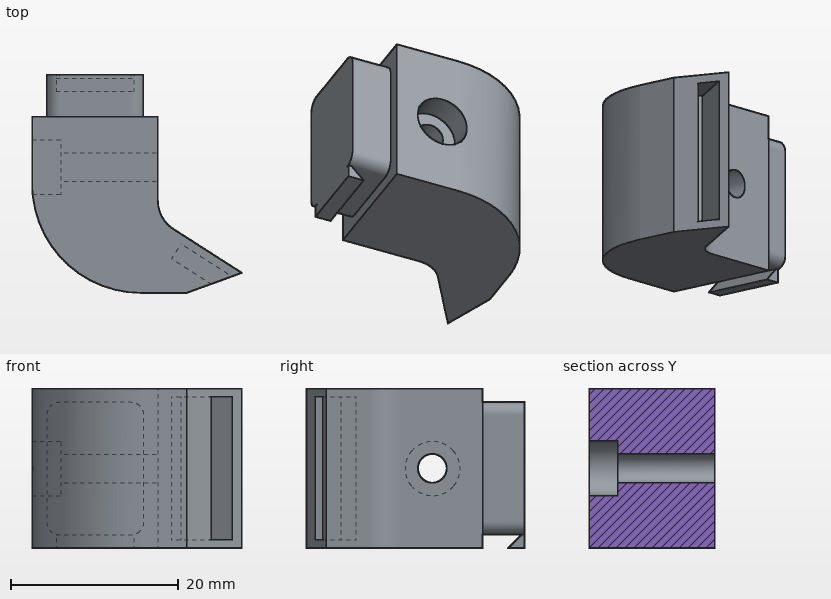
import cadquery as cq
import math

body_height = 19.0
shank_width = 15.0
shank_end_y = 21.0
outer_radius = 13.0
heel_x = 18.4
tip_x = 25.0
tip_y = 2.4
inner_corner_y = 8.8
inner_radius = 4.0

plug_width = 11.5
plug_height = 15.8
plug_length = 5.0
plug_corner_radius = 1.5

latch_width = 9.2
latch_length = 2.0

hole_y = 15.0
hole_z = body_height / 2
hole_diameter = 3.4
counterbore_diameter = 6.5
counterbore_depth = 3.4

slot_margin_z = 1.0
slot_wall = 1.0
slot_thickness = 2.1
slot_length = 8.0

plug_end_y = shank_end_y + plug_length
plug_bottom_z = (body_height - plug_height) / 2


def make_body():
    outline = (
        cq.Workplane("XY")
        .moveTo(0, shank_end_y)
        .lineTo(0, outer_radius)
        .radiusArc((outer_radius, 0), -outer_radius)
        .lineTo(heel_x, 0)
        .lineTo(tip_x, tip_y)
        .lineTo(shank_width, inner_corner_y)
        .lineTo(shank_width, shank_end_y)
        .close()
    )
    body = outline.extrude(body_height)
    inner_corner = (shank_width, inner_corner_y, body_height / 2)
    return body.edges(cq.selectors.NearestToPointSelector(inner_corner)).fillet(inner_radius)


def make_plug():
    plug = cq.Workplane("XY").box(plug_width, plug_length, plug_height, centered=(True, False, False))
    plug = plug.edges("|Y").fillet(plug_corner_radius)
    return plug.translate((shank_width / 2, shank_end_y, plug_bottom_z))


def make_latch():
    return (
        cq.Workplane("YZ", origin=(shank_width / 2, 0, 0))
        .moveTo(plug_end_y, 0)
        .lineTo(plug_end_y - latch_length, 0)
        .lineTo(plug_end_y - latch_length + plug_bottom_z, plug_bottom_z)
        .lineTo(plug_end_y, plug_bottom_z)
        .close()
        .extrude(latch_width / 2, both=True)
    )


def make_cross_hole():
    drilling = cq.Workplane("YZ").center(hole_y, hole_z)
    through_hole = drilling.circle(hole_diameter / 2).extrude(shank_width)
    counterbore = drilling.circle(counterbore_diameter / 2).extrude(counterbore_depth)
    return through_hole.union(counterbore)


def make_slot():
    slope_angle = math.degrees(math.atan2(inner_corner_y - tip_y, shank_width - tip_x))
    slot_height = body_height - 2 * slot_margin_z
    return (
        cq.Workplane("XY")
        .box(slot_length, slot_thickness, slot_height, centered=False)
        .translate((0, slot_wall, slot_margin_z))
        .rotate((0, 0, 0), (0, 0, 1), slope_angle)
        .translate((tip_x, tip_y, 0))
    )


result = make_body().union(make_plug()).union(make_latch()).cut(make_cross_hole()).cut(make_slot())